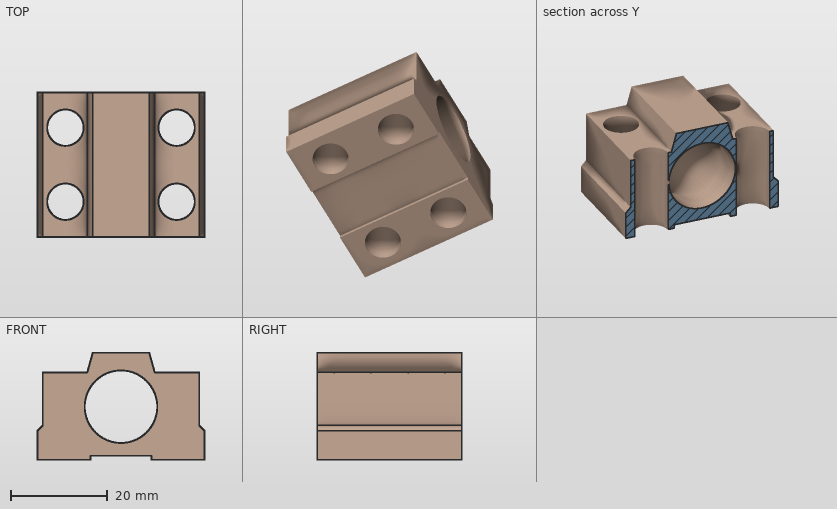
import cadquery as cq

width = 34.7
length = 30.0
height = 22.2

flank_height = 6.0
body_width = 32.48
flank_chamfer = (width - body_width) / 2
shoulder_height = 18.1

ridge_base_width = 14.02
ridge_top_width = 11.73

relief_width = 12.63
relief_depth = 0.8

bore_diameter = 15.0
bore_height = 11.0

hole_diameter = 7.5
hole_spacing_x = 23.05
hole_spacing_y = 15.35


def block():
    """Extrude the symmetric cross-section along Y, centred on the origin."""
    right_side = [
        (relief_width / 2, relief_depth),
        (relief_width / 2, 0),
        (width / 2, 0),
        (width / 2, flank_height),
        (body_width / 2, flank_height + flank_chamfer),
        (body_width / 2, shoulder_height),
        (ridge_base_width / 2, shoulder_height),
        (ridge_top_width / 2, height),
    ]
    left_side = [(-x, z) for x, z in reversed(right_side)]
    section = cq.Workplane("XZ").polyline(right_side + left_side).close()
    return section.extrude(length / 2, both=True)


def bore():
    """Cylinder that runs the full length of the block."""
    plane = cq.Workplane("XZ").center(0, bore_height)
    return plane.circle(bore_diameter / 2).extrude(length / 2, both=True)


def mounting_holes():
    """Four vertical cylinders that run through the full height."""
    centres = cq.Workplane("XY").rarray(hole_spacing_x, hole_spacing_y, 2, 2)
    return centres.circle(hole_diameter / 2).extrude(height)


result = block().cut(bore()).cut(mounting_holes())